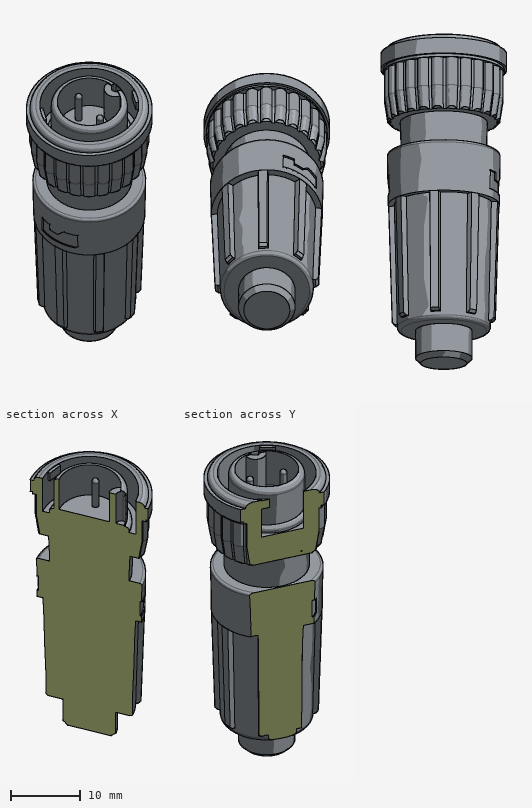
import cadquery as cq
import math


total_height = 47.4
cable_chamfer_top = 0.75
shell_bottom = 4.8
shell_fillet_top = 5.35
rib_bottom = 5.9
collar_bottom = 23.5
collar_top = 31.05
nut_bottom = 35.75
nut_knee = 39.05
shoulder_ring_bottom = 43.2
flange_bottom = 43.6
flange_top = 45.9
nut_top = 46.75

cable_radius = 4.05
cable_end_radius = cable_radius - cable_chamfer_top
shell_bottom_radius = 6.65
shell_top_radius = 7.1
shell_fillet = shell_fillet_top - shell_bottom
collar_bottom_radius = 7.97
collar_top_radius = 8.1
collar_fillet = 0.4
neck_bottom_radius = 6.13
neck_top_radius = 6.25

rib_count = 8
rib_phase = 20.0
rib_bottom_radius = 7.4
rib_top_radius = 7.92
rib_end_chamfer = 0.4
rib_bottom_width = 1.75
rib_top_width = 1.95
rib_face_ratio = 0.65
rib_root_depth = 1.0
rib_root_radius = shell_bottom_radius - rib_root_depth

flange_diameter = 18.03
flange_radius = flange_diameter / 2
shoulder_ring_radius = 8.67
nut_rim_radius = 8.5
nut_rim_fillet = 0.84
nut_bore_radius = 7.07
lobe_count = 24
lobe_phase = 8.5
lobe_pitch = 360 / lobe_count
lobe_half_angle = 6.1
lobe_peak_radius = 8.55
lobe_root_radius = 8.05
lobe_end_scale = 0.94
nut_end_chamfer = 0.3

sleeve_radius = 5.45
sleeve_bore_radius = 4.57
sleeve_lip = sleeve_radius - sleeve_bore_radius
socket_depth = 5.85
annulus_depth = 7.0
seat_radius = 6.1
seat_round = seat_radius - sleeve_radius
seat_height = 1.0

pin_radius = 0.5
pin_offset = 2.56
pin_tip_depth = 0.75

key_radius = 1.55
key_centre_y = 4.57
key_top_depth = 0.2
key_slot_radius = 0.75
key_slot_centre_y = 4.85
key_slot_outer_y = 5.3

lug_count = 2
lug_angle = 68.0
lug_width = 2.3
lug_inner_radius = 6.58
lug_top_depth = 0.75
lug_height = 1.5

recess_count = 2
recess_depth = 0.3
recess_left = -0.54
recess_right = 5.34
recess_bottom = 24.75
recess_top = 27.5
recess_corner = 0.35
notch_left = 1.22
notch_floor_right = 2.66
notch_right = 3.58
notch_floor = 26.4


def cylinder(radius, bottom, top):
    return cq.Workplane("XY").workplane(offset=bottom).circle(radius).extrude(top - bottom)


def cone(bottom_radius, top_radius, bottom, top):
    half_section = [(0, bottom), (bottom_radius, bottom), (top_radius, top), (0, top)]
    return cq.Workplane("XZ").polyline(half_section).close().revolve(360, (0, 0), (0, 1))


def ring(body, count, first_angle=0):
    """Copies of a body spaced evenly about the Z axis."""
    copies = cq.Workplane("XY")
    for index in range(count):
        angle = first_angle + index * 360 / count
        copies = copies.add(body.rotate((0, 0, 0), (0, 0, 1), angle))
    return copies.combine()


def make_body():
    cable = cone(cable_end_radius, cable_radius, 0, cable_chamfer_top)
    cable = cable.union(cylinder(cable_radius, cable_chamfer_top, shell_bottom))
    shell = cone(shell_bottom_radius, shell_top_radius, shell_bottom, collar_bottom)
    shell = shell.faces("<Z").edges().fillet(shell_fillet)
    collar = cone(collar_bottom_radius, collar_top_radius, collar_bottom, collar_top)
    collar = collar.faces(">Z").edges().fillet(collar_fillet)
    neck = cone(neck_bottom_radius, neck_top_radius, collar_top, nut_bottom)
    return cable.union(shell).union(collar).union(neck)


def rib_section(width, outer_radius):
    face_width = width * rib_face_ratio
    return [
        (rib_root_radius, -width / 2),
        (outer_radius, -face_width / 2),
        (outer_radius, face_width / 2),
        (rib_root_radius, width / 2),
    ]


def make_ribs():
    rib = (
        cq.Workplane("XY").workplane(offset=rib_bottom)
        .polyline(rib_section(rib_bottom_width, rib_bottom_radius)).close()
        .workplane(offset=collar_bottom - rib_bottom)
        .polyline(rib_section(rib_top_width, rib_top_radius)).close()
        .loft(ruled=True)
    )
    rib = rib.faces("<Z").edges(">X").chamfer(rib_end_chamfer)
    return ring(rib, rib_count, rib_phase)


def polar(radius, degrees):
    angle = math.radians(degrees)
    return (radius * math.cos(angle), radius * math.sin(angle))


def lobe_outline(plane, scale):
    """Ring of rounded lobes separated by short flat roots."""
    root = lobe_root_radius * scale
    peak = lobe_peak_radius * scale
    outline = plane.moveTo(*polar(root, lobe_phase - lobe_half_angle))
    for index in range(lobe_count):
        centre = lobe_phase + index * lobe_pitch
        outline = outline.threePointArc(polar(peak, centre), polar(root, centre + lobe_half_angle))
        if index < lobe_count - 1:
            outline = outline.lineTo(*polar(root, centre + lobe_pitch - lobe_half_angle))
    return outline.close()


def make_nut():
    grip = lobe_outline(cq.Workplane("XY").workplane(offset=nut_knee), 1.0)
    grip = grip.extrude(shoulder_ring_bottom - nut_knee)
    skirt = lobe_outline(cq.Workplane("XY").workplane(offset=nut_bottom), lobe_end_scale)
    skirt = lobe_outline(skirt.workplane(offset=nut_knee - nut_bottom), 1.0).loft(ruled=True)
    skirt_limit = cylinder(lobe_peak_radius * lobe_end_scale, nut_bottom, nut_knee)
    skirt_limit = skirt_limit.faces("<Z").edges().chamfer(nut_end_chamfer)
    skirt_end = nut_bottom + nut_end_chamfer
    skirt_limit = skirt_limit.union(cylinder(flange_radius, skirt_end, nut_knee))
    skirt = skirt.intersect(skirt_limit)
    rim = cylinder(nut_rim_radius, flange_top, nut_top)
    rim = rim.faces(">Z").edges().fillet(nut_rim_fillet)
    nut = skirt.union(grip).union(cylinder(shoulder_ring_radius, shoulder_ring_bottom, flange_bottom))
    return nut.union(cylinder(flange_radius, flange_bottom, flange_top)).union(rim)


def make_socket():
    """Sleeve with a rounded lip standing on a rounded seat, bored to the contact face."""
    floor = total_height - annulus_depth
    seat = cylinder(seat_radius, floor, floor + seat_height)
    seat = seat.faces(">Z").edges().fillet(seat_round)
    lip_base = total_height - sleeve_lip
    sleeve = (
        cq.Workplane("XZ").moveTo(0, floor).lineTo(sleeve_radius, floor)
        .lineTo(sleeve_radius, lip_base)
        .radiusArc((sleeve_bore_radius, total_height), -sleeve_lip)
        .lineTo(0, total_height).close().revolve(360, (0, 0), (0, 1))
    )
    return sleeve.union(seat)


def make_pins():
    bottom = total_height - socket_depth
    tip_centre = total_height - pin_tip_depth - pin_radius
    tip = cq.Workplane("XY").workplane(offset=tip_centre).sphere(pin_radius)
    pin = cylinder(pin_radius, bottom, tip_centre).union(tip)
    return pin.translate((pin_offset, 0, 0)).union(pin.translate((-pin_offset, 0, 0)))


def make_key():
    bottom = total_height - socket_depth
    key = cylinder(key_radius, bottom, total_height - key_top_depth).translate((0, key_centre_y, 0))
    return key.intersect(cylinder(sleeve_radius - sleeve_lip / 2, bottom, total_height))


def make_key_slot():
    bottom = total_height - socket_depth
    slot = (
        cq.Workplane("XY").workplane(offset=bottom)
        .moveTo(-key_slot_radius, key_slot_outer_y)
        .lineTo(-key_slot_radius, key_slot_centre_y)
        .threePointArc((0, key_slot_centre_y - key_slot_radius), (key_slot_radius, key_slot_centre_y))
        .lineTo(key_slot_radius, key_slot_outer_y).close()
    )
    return slot.extrude(socket_depth)


def make_lugs():
    bottom = total_height - lug_top_depth - lug_height
    outer_radius = (nut_bore_radius + nut_rim_radius) / 2
    lug = (
        cq.Workplane("XY").workplane(offset=bottom)
        .center((lug_inner_radius + outer_radius) / 2, 0)
        .rect(outer_radius - lug_inner_radius, lug_width).extrude(lug_height)
    )
    return ring(lug, lug_count, lug_angle)


def make_recesses():
    """Latch-shaped pockets of even depth, on the -Y and +Y sides of the collar."""
    latch = (
        cq.Workplane("XZ")
        .moveTo(recess_left, recess_bottom).lineTo(recess_right - recess_corner, recess_bottom)
        .lineTo(recess_right, recess_bottom + recess_corner).lineTo(recess_right, recess_top)
        .lineTo(notch_right, recess_top).lineTo(notch_floor_right, notch_floor)
        .lineTo(notch_left, notch_floor).lineTo(notch_left, recess_top)
        .lineTo(recess_left, recess_top).close().extrude(collar_top_radius * 2)
    )
    core = cylinder(collar_top_radius - recess_depth, collar_bottom, collar_top)
    pocket = latch.cut(core)
    return ring(pocket, recess_count)


nut_bore = cylinder(nut_bore_radius, total_height - annulus_depth, total_height)
socket_bore = cylinder(sleeve_bore_radius, total_height - socket_depth, total_height)

result = make_body().union(make_ribs()).union(make_nut())
result = result.cut(nut_bore).union(make_socket()).cut(socket_bore)
result = result.union(make_key()).cut(make_key_slot())
result = result.union(make_pins()).union(make_lugs()).cut(make_recesses())